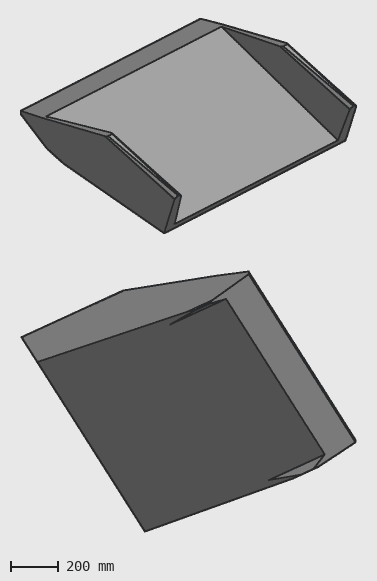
import cadquery as cq

length = 1080.0
width = 951.0
height = 407.0
half_width = width / 2

nose_low = 75.0
nose_high = 95.0
keel_front = 194.0
keel_rear = 254.0
tail_x = 1001.0
tail_z = 140.0
rail_front_x = 605.0
rail_front_z = 399.0

floor_x = 163.0
floor_z = 176.0
shoulder_z = 392.0
wall_top = 35.0
wall_floor_front = 17.0
wall_floor_rear = 49.0

flank_z = 172.0
flank_inset = 10.0
keel_bevel_z = 8.0
keel_bevel_inset = 14.0
recess_z = 26.0
recess_half_width = 434.0

clearance = 54.0

rear_slope = (length - tail_x) / (height - tail_z)
floor_rear_x = tail_x + rear_slope * (floor_z - tail_z)
front_slope = rail_front_x / (rail_front_z - nose_high)
shoulder_x = front_slope * (shoulder_z - nose_high)
rail_bevel = height - shoulder_z


def across(points):
    """Extrude a Y-Z outline, given by its +Y half, along the whole length."""
    mirrored = [(-y, z) for y, z in reversed(points)]
    return (
        cq.Workplane("YZ", origin=(-clearance, 0, 0))
        .polyline(points + mirrored)
        .close()
        .extrude(length + 2 * clearance)
    )


def make_body():
    """Side outline limited by the tapered flanks and bevelled outer edges."""
    side = (
        cq.Workplane("XZ")
        .polyline([
            (0, nose_low),
            (keel_front, 0),
            (keel_rear, 0),
            (tail_x, tail_z),
            (length, height),
            (rail_front_x, rail_front_z),
            (0, nose_high),
        ])
        .close()
        .extrude(half_width, both=True)
    )
    envelope = across([
        (half_width - keel_bevel_inset, 0),
        (half_width - flank_inset, keel_bevel_z),
        (half_width, flank_z),
        (half_width, shoulder_z),
        (half_width - rail_bevel, height),
    ])
    return side.intersect(envelope)


def make_straight_channel():
    """Channel between the walls, widening upward, with bevelled top edges."""
    inner_top = half_width - wall_top
    return across([
        (half_width - wall_floor_rear, floor_z),
        (inner_top, shoulder_z),
        (inner_top + rail_bevel, height),
        (inner_top + rail_bevel, height + clearance),
    ])


def make_flared_channel():
    """Channel that widens toward the nose, thinning the front of the walls."""
    flare = (wall_floor_rear - wall_floor_front) / (floor_rear_x - floor_x)
    back_x = length + clearance

    def half_opening(x, z):
        at_floor = wall_floor_front + flare * (x - floor_x)
        floor_at_shoulder = wall_floor_front + flare * (shoulder_x - floor_x)
        lean = (wall_top - floor_at_shoulder) / (shoulder_z - floor_z)
        return half_width - at_floor - lean * (z - floor_z)

    def outline(z):
        front = half_opening(0, z)
        back = half_opening(back_x, z)
        return [(0, -front), (back_x, -back), (back_x, back), (0, front)]

    top_z = height + clearance
    return (
        cq.Workplane("XY", origin=(0, 0, floor_z))
        .polyline(outline(floor_z))
        .close()
        .workplane(offset=top_z - floor_z)
        .polyline(outline(top_z))
        .close()
        .loft(ruled=True)
    )


def make_recess():
    """Underside recess with 45 degree sides, leaving a keel along each edge."""
    return across([
        (recess_half_width, recess_z),
        (recess_half_width + recess_z, 0),
    ])


result = (
    make_body()
    .cut(make_straight_channel())
    .cut(make_flared_channel())
    .cut(make_recess())
)